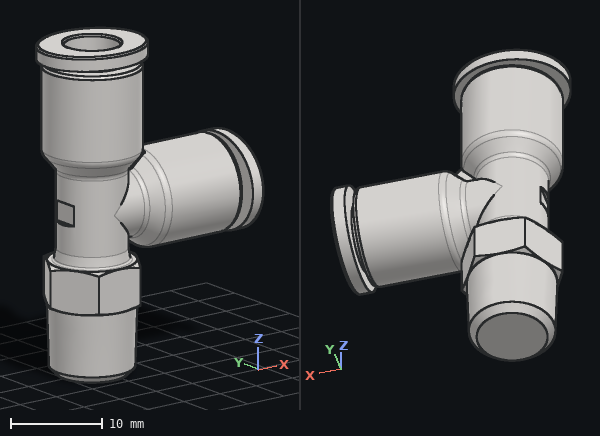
import cadquery as cq
import math


total_height = 37.85
branch_height = 18.92
socket_reach = total_height - branch_height

thread_tip_radius = 4.77
thread_top_radius = 5.0
thread_tip_chamfer = 0.87

hex_bottom = 8.02
hex_top = 13.02
hex_across_flats = 10.0
hex_corner_radius = hex_across_flats / 2 / math.cos(math.radians(30))
hex_face_radius = 4.95
hex_chamfer_height = 0.35

neck_radius = 4.0
neck_foot_radius = 4.2
neck_foot_height = 1.35
neck_foot_fillet = 0.23

body_radius = 5.6
body_end = 16.6
body_end_chamfer_height = 0.38
body_end_chamfer_width = 0.2
shoulder_angle = math.radians(40)
shoulder_start = 4.2
shoulder_end = 6.8
shoulder_inner_fillet = 0.87
shoulder_outer_fillet = 1.17

ring_neck_radius = 3.75
ring_thickness = 1.63
ring_long_radius = 13.0 / 2
ring_short_radius = 5.55
ring_chamfer = 0.23
bore_radius = 3.1
bore_chamfer = 0.23
bore_floor = shoulder_end

gusset_thickness = 2.27
gusset_long_side = 6.62
gusset_short_side = 5.3

pocket_width = 3.1
pocket_height = 2.27
pocket_floor = math.sqrt(neck_radius**2 - (pocket_width / 2) ** 2)
pocket_draft = 26.0


def revolve_about_z(profile):
    return profile.close().revolve(360, (0, 0, 0), (0, 1, 0))


def make_stem():
    """Tapered thread with a chamfered tip."""
    return revolve_about_z(
        cq.Workplane("XZ")
        .lineTo(thread_tip_radius - thread_tip_chamfer, 0)
        .lineTo(thread_tip_radius, thread_tip_chamfer)
        .lineTo(thread_top_radius, hex_bottom)
        .lineTo(0, hex_bottom)
    )


def make_hex_nut():
    """Hexagon with two flats facing +Y and -Y, its corners chamfered at both ends."""
    height = hex_top - hex_bottom
    prism = (
        cq.Workplane("XY")
        .workplane(offset=hex_bottom)
        .polygon(6, 2 * hex_corner_radius)
        .extrude(height)
    )
    chamfered_blank = revolve_about_z(
        cq.Workplane("XZ")
        .moveTo(0, hex_bottom)
        .lineTo(hex_face_radius, hex_bottom)
        .lineTo(hex_corner_radius, hex_bottom + hex_chamfer_height)
        .lineTo(hex_corner_radius, hex_top - hex_chamfer_height)
        .lineTo(hex_face_radius, hex_top)
        .lineTo(0, hex_top)
    )
    return prism.intersect(chamfered_blank)


def make_neck():
    """Cylinder up to the axis crossing, flaring into the top of the nut."""
    return revolve_about_z(
        cq.Workplane("XZ")
        .moveTo(0, hex_top)
        .lineTo(neck_foot_radius + neck_foot_fillet, hex_top)
        .radiusArc((neck_foot_radius, hex_top + neck_foot_fillet), neck_foot_fillet)
        .lineTo(neck_radius, hex_top + neck_foot_height)
        .lineTo(neck_radius, branch_height)
        .lineTo(0, branch_height)
    )


def make_socket():
    """Solid tube socket on the Z axis, with the axis crossing at the origin."""
    rise = math.sin(shoulder_angle)
    step = 1 - math.cos(shoulder_angle)
    shoulder_inner_radius = neck_radius + shoulder_inner_fillet * step
    shoulder_inner_z = shoulder_start + shoulder_inner_fillet * rise
    shoulder_outer_radius = body_radius - shoulder_outer_fillet * step
    shoulder_outer_z = shoulder_end - shoulder_outer_fillet * rise
    ring_start = socket_reach - ring_thickness
    body = revolve_about_z(
        cq.Workplane("XZ")
        .lineTo(neck_radius, 0)
        .lineTo(neck_radius, shoulder_start)
        .radiusArc((shoulder_inner_radius, shoulder_inner_z), shoulder_inner_fillet)
        .lineTo(shoulder_outer_radius, shoulder_outer_z)
        .radiusArc((body_radius, shoulder_end), -shoulder_outer_fillet)
        .lineTo(body_radius, body_end - body_end_chamfer_height)
        .lineTo(body_radius - body_end_chamfer_width, body_end)
        .lineTo(ring_neck_radius, body_end)
        .lineTo(ring_neck_radius, ring_start)
        .lineTo(0, ring_start)
    )
    ring = (
        cq.Workplane("XY")
        .workplane(offset=ring_start)
        .ellipse(ring_long_radius, ring_short_radius)
        .extrude(ring_thickness)
        .faces(">Z")
        .chamfer(ring_chamfer)
    )
    return body.union(ring)


def make_bore():
    """Blind tube bore with a chamfered mouth, placed like the socket."""
    return revolve_about_z(
        cq.Workplane("XZ")
        .moveTo(0, bore_floor)
        .lineTo(bore_radius, bore_floor)
        .lineTo(bore_radius, socket_reach - bore_chamfer)
        .lineTo(bore_radius + bore_chamfer, socket_reach)
        .lineTo(0, socket_reach)
    )


def place_upright(shape):
    return shape.translate((0, 0, branch_height))


def place_branch(shape):
    """Tip the shape onto +X, with its long ring axis along Y."""
    return place_upright(shape.rotate((0, 0, 0), (0, 0, 1), 90).rotate((0, 0, 0), (0, 1, 0), 90))


def make_gusset():
    """Flat web filling the inner corner, with a 45 degree outer edge."""
    web = (
        cq.Workplane("XZ")
        .polyline([(0, 0), (gusset_long_side, gusset_short_side), (gusset_short_side, gusset_long_side)])
        .close()
        .extrude(gusset_thickness / 2, both=True)
    )
    return place_upright(web)


def make_pocket():
    """Cutter for the flat-floored pocket on -X, widening outward with its draft."""
    return (
        cq.Workplane("YZ", origin=(-pocket_floor, 0, branch_height))
        .rect(pocket_width, pocket_height)
        .extrude(-(body_radius - pocket_floor), taper=-pocket_draft)
    )


socket = make_socket()
bore = make_bore()

result = (
    make_stem()
    .union(make_hex_nut())
    .union(make_neck())
    .union(place_upright(socket))
    .union(place_branch(socket))
    .union(make_gusset())
    .cut(place_upright(bore))
    .cut(place_branch(bore))
    .cut(make_pocket())
)